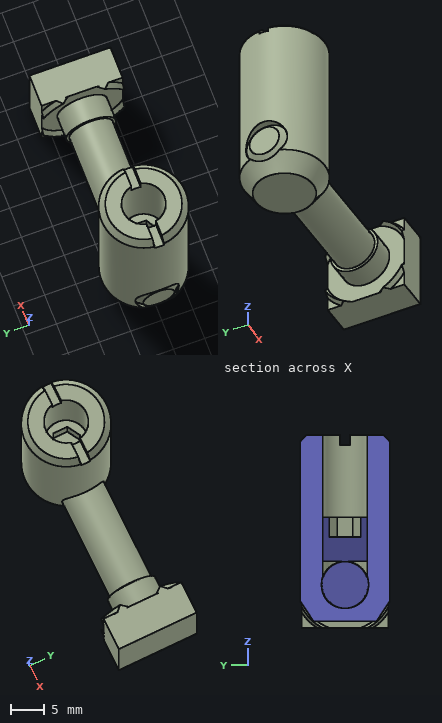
import cadquery as cq
import math


barrel_diameter = 13.5
barrel_radius = barrel_diameter / 2
barrel_height = 28.0
barrel_top_chamfer = 1.0
barrel_tip_radius = 4.8
barrel_tip_height = 3.0
bore_diameter = 6.65
slot_width = 1.5
slot_depth = 1.5

overall_length = 38.25
overall_height = 29.0
shank_diameter = 7.0
shank_radius = shank_diameter / 2
shank_start_x = -6.5
shank_chamfer = 1.0
collar_diameter = 8.0
collar_length = 3.0
head_side = 13.0
head_length = 6.1
ridge_height = 0.85
ridge_inner_radius = 6.9
ridge_outer_radius = 7.73

screw_length = 6.65
socket_across_flats = 4.0
socket_depth = 3.0

barrel_top_z = overall_height - head_side / 2
barrel_bottom_z = barrel_top_z - barrel_height
head_end_x = overall_length - barrel_radius
head_start_x = head_end_x - head_length
head_seat_x = head_start_x + ridge_height
collar_start_x = head_start_x - collar_length
ridge_crest_radius = (ridge_inner_radius + ridge_outer_radius) / 2


def cylinder_along_x(diameter, start_x, end_x):
    return cq.Workplane("YZ", origin=(start_x, 0, 0)).circle(diameter / 2).extrude(end_x - start_x)


def make_barrel():
    """Chamfered barrel with a tapered tip, a screw bore, a driver slot and a cross hole."""
    body = (
        cq.Workplane("XZ")
        .moveTo(0, barrel_bottom_z)
        .lineTo(barrel_tip_radius, barrel_bottom_z)
        .lineTo(barrel_radius, barrel_bottom_z + barrel_tip_height)
        .lineTo(barrel_radius, barrel_top_z - barrel_top_chamfer)
        .lineTo(barrel_radius - barrel_top_chamfer, barrel_top_z)
        .lineTo(0, barrel_top_z)
        .close()
        .revolve(360, (0, 0, 0), (0, 1, 0))
    )
    bore = cq.Workplane("XY").circle(bore_diameter / 2).extrude(barrel_top_z)
    slot = (
        cq.Workplane("XY", origin=(0, 0, barrel_top_z - slot_depth))
        .rect(barrel_diameter, slot_width)
        .extrude(slot_depth)
    )
    cross_hole = cylinder_along_x(shank_diameter, -barrel_radius, barrel_radius)
    return body.cut(bore).cut(slot).cut(cross_hole)


def make_head_ridge():
    """Circular ridge of triangular section, trimmed to the square outline of the head."""
    ring = (
        cq.Workplane("XY")
        .moveTo(head_seat_x, ridge_inner_radius)
        .lineTo(head_start_x, ridge_crest_radius)
        .lineTo(head_seat_x, ridge_outer_radius)
        .close()
        .revolve(360, (0, 0, 0), (1, 0, 0))
    )
    outline = cq.Workplane("YZ", origin=(head_start_x, 0, 0)).rect(head_side, head_side).extrude(head_length)
    return ring.intersect(outline)


def make_bolt():
    """Shank with a chamfered end, a collar and a square head with a biting ridge."""
    shank = cylinder_along_x(shank_diameter, shank_start_x, head_seat_x).faces("<X").chamfer(shank_chamfer)
    collar = cylinder_along_x(collar_diameter, collar_start_x, head_seat_x)
    head = (
        cq.Workplane("YZ", origin=(head_seat_x, 0, 0))
        .rect(head_side, head_side)
        .extrude(head_end_x - head_seat_x)
    )
    return shank.union(collar).union(head).union(make_head_ridge())


def make_set_screw():
    """Set screw resting on the shank, with a hexagon socket whose corners point along Y."""
    screw = cq.Workplane("XY", origin=(0, 0, shank_radius)).circle(bore_diameter / 2).extrude(screw_length)
    socket_across_corners = socket_across_flats / math.cos(math.pi / 6)
    socket = (
        cq.Workplane("XY", origin=(0, 0, shank_radius + screw_length - socket_depth))
        .polygon(6, socket_across_corners)
        .extrude(socket_depth)
        .rotate((0, 0, 0), (0, 0, 1), 90)
    )
    return screw.cut(socket)


barrel = make_barrel().solids()
bolt = make_bolt().solids()
set_screw = make_set_screw().solids()

result = cq.Compound.makeCompound([barrel.val(), bolt.val(), set_screw.val()])